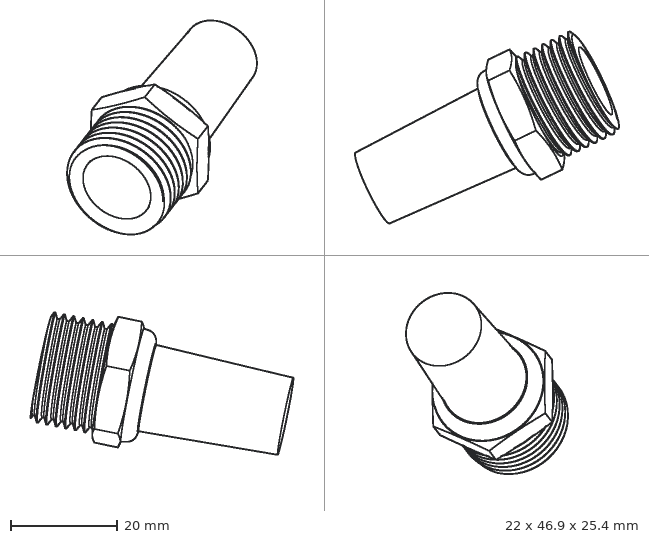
import cadquery as cq
import math

total_length = 46.9
thread_length = 12.0
hex_height = 5.55
hex_top = thread_length + hex_height
collar_top = 20.25

across_flats = 22.0
across_corners = across_flats / math.cos(math.radians(30))
chamfer_circle_radius = 10.75
hex_chamfer_angle = 15.0

collar_base_radius = 10.9
collar_radius = 10.75
collar_round = 2.05
stem_base_radius = 8.3
stem_tip_radius = 7.4
stem_root_flare = 0.2

thread_major_radius = 10.5
thread_root_radius = 9.4
thread_turns = 6.6
thread_pitch = thread_length / thread_turns
thread_crest_width = 0.2
thread_angle = 55.0
first_crest = 0.75 * thread_pitch

fuse_tolerance = 0.001

bore_diameter = 14.0
bore_depth = collar_top


def make_hexagon():
    """Hexagonal prism with both ends chamfered by shallow cones."""
    corner_radius = across_corners / 2
    chamfer_height = (corner_radius - chamfer_circle_radius) * math.tan(math.radians(hex_chamfer_angle))
    prism = (
        cq.Workplane("XY", origin=(0, 0, thread_length))
        .polygon(6, across_corners)
        .extrude(hex_height)
        .rotate((0, 0, 0), (0, 0, 1), 30)
    )
    envelope = (
        cq.Workplane("XY", origin=(0, 0, thread_length))
        .circle(corner_radius)
        .extrude(hex_height)
        .edges()
        .chamfer(chamfer_height, corner_radius - chamfer_circle_radius)
    )
    return prism.intersect(envelope)


def make_core():
    """Turned body: thread root cylinder, rounded collar and tapered stem."""
    arc_middle = collar_round * math.sin(math.radians(45))
    arc_center_radius = collar_radius - collar_round
    arc_center_height = collar_top - collar_round
    body = (
        cq.Workplane("XZ")
        .lineTo(thread_root_radius, 0)
        .lineTo(thread_root_radius, hex_top)
        .lineTo(collar_base_radius, hex_top)
        .lineTo(collar_radius, arc_center_height)
        .threePointArc(
            (arc_center_radius + arc_middle, arc_center_height + arc_middle),
            (arc_center_radius, collar_top),
        )
        .lineTo(stem_base_radius + stem_root_flare, collar_top)
        .lineTo(stem_base_radius, collar_top + stem_root_flare)
        .lineTo(stem_tip_radius, total_length)
        .lineTo(0, total_length)
        .close()
    )
    return body.revolve(360, (0, 0, 0), (0, 1, 0))


def make_thread():
    """Helical ridge, trimmed flush at the open end and run into the hexagon."""
    start = first_crest - 2 * thread_pitch
    half_crest = thread_crest_width / 2
    flank_rise = (thread_major_radius - thread_root_radius) * math.tan(math.radians(thread_angle / 2))
    half_base = half_crest + flank_rise
    run = thread_length + thread_pitch - start
    path = cq.Wire.makeHelix(thread_pitch, run, thread_root_radius, center=cq.Vector(0, 0, start))
    ridge = (
        cq.Workplane("XZ")
        .polyline([
            (thread_root_radius, start - half_base),
            (thread_major_radius, start - half_crest),
            (thread_major_radius, start + half_crest),
            (thread_root_radius, start + half_base),
        ])
        .close()
        .sweep(cq.Workplane(path), isFrenet=True)
    )
    trim = cq.Workplane("XY").circle(across_corners).extrude(hex_top)
    return ridge.intersect(trim)


bore = cq.Workplane("XY").circle(bore_diameter / 2).extrude(bore_depth)
fitting = make_core().union(make_hexagon()).union(make_thread(), tol=fuse_tolerance).cut(bore)

result = fitting.rotate((0, 0, 0), (1, 0, 0), -90)